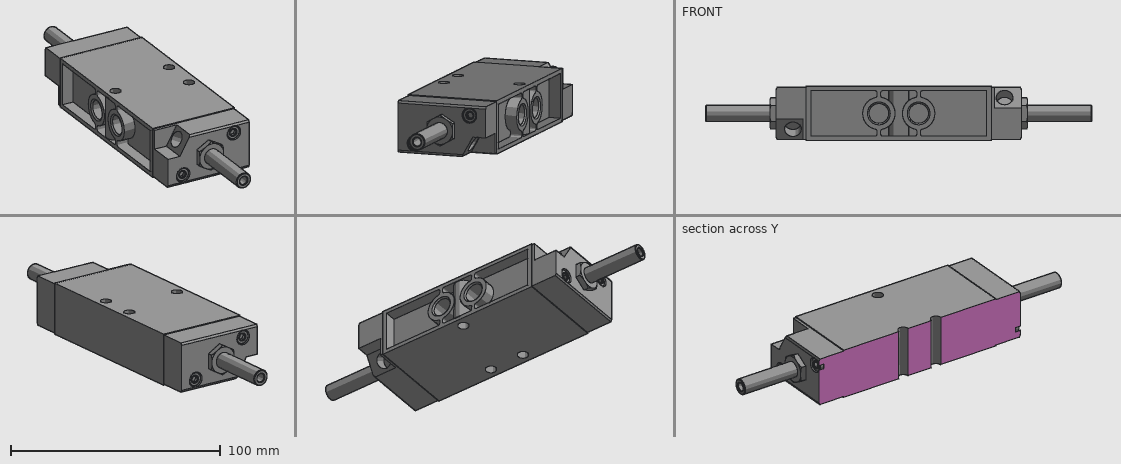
import cadquery as cq
import math

total_length = 184.0
width = 45.0
body_height = 26.0
body_length = 88.3
cap_length = 14.4
cap_height = 25.0
cap_width = 44.7
cap_chamfer_z = 1.1
cap_chamfer_x = 0.5

front_y = -width / 2
body_end_x = body_length / 2
cap_end_x = body_end_x + cap_length

pocket_length = 83.5
pocket_height = 21.7
pocket_depth = 5.9
port_spacing = 19.0
boss_diameter = 15.5
rib_thickness = 1.7
rib_fillet = 1.1
corner_search = 0.2
port_diameter = 9.4
port_chamfer = 0.7
port_chamfer_angle = 45.0
port_depth = 9.2
mount_diameter = 5.3
mount_offset_y = 17.5
mount_sleeve_diameter = 9.5

port_points = [(-port_spacing / 2, 0), (port_spacing / 2, 0)]

notch_wall = 1.5
notch_floor_z = 2.5
notch_floor_y = -15.8
notch_angle = 30.0
pilot_diameter = 8.0
pilot_depth = 6.6
pilot_x = 50.5
pilot_z = 7.5

screw_y = 14.0
screw_z = 7.7
screw_bore_diameter = 7.4
screw_head_diameter = 7.0
screw_bore_depth = 2.8
screw_head_recess = 0.5
screw_head_chamfer = 0.4
socket_flats = 3.0
socket_mouth_diameter = 4.0
socket_mouth_depth = 0.4
socket_depth = 1.8

nut_flats = 13.0
nut_thickness = 3.0
nut_face_diameter = 13.2
nut_chamfer_angle = 30.0
rod_diameter = 8.0
rod_chamfer = 0.4
rod_hole_diameter = 4.0
rod_hole_chamfer = 0.4
rod_hole_depth = 9.2
drill_point_angle = 118.0

hex_corner_factor = 1 / math.cos(math.radians(30))


def along_x(x, y=0.0, z=0.0):
    """Workplane facing +X, with local x along Y and local y along Z."""
    return cq.Workplane("YZ", origin=(x, y, z))


def from_front(y):
    """Workplane facing -Y, with local x along X and local y along Z."""
    return cq.Workplane("XZ", origin=(0, y, 0))


def make_pocket():
    """Hollow to remove from the front face, leaving bosses, ribs and a hole sleeve."""
    floor_y = front_y + pocket_depth
    pocket = from_front(floor_y).rect(pocket_length, pocket_height).extrude(pocket_depth)
    port_centers = from_front(floor_y).pushPoints(port_points)
    ribs = port_centers.rect(rib_thickness, pocket_height).extrude(pocket_depth)
    bosses = port_centers.circle(boss_diameter / 2).extrude(pocket_depth)
    pocket = pocket.cut(ribs).cut(bosses)

    boss_meet_z = math.sqrt((boss_diameter / 2) ** 2 - (rib_thickness / 2) ** 2)
    wall_z = pocket_height / 2
    for port_x, _ in port_points:
        for corner_z in (-wall_z, -boss_meet_z, boss_meet_z, wall_z):
            corners = cq.selectors.BoxSelector(
                (port_x - rib_thickness, front_y, corner_z - corner_search),
                (port_x + rib_thickness, floor_y, corner_z + corner_search),
            )
            pocket = pocket.edges("|Y").edges(corners).fillet(rib_fillet)

    sleeve = (
        cq.Workplane("XY")
        .center(0, -mount_offset_y)
        .circle(mount_sleeve_diameter / 2)
        .extrude(body_height, both=True)
    )
    return pocket.cut(sleeve)


def make_body():
    body = cq.Workplane("XY").box(body_length, width, body_height)
    body = body.cut(make_pocket())
    ports = from_front(front_y).pushPoints(port_points).circle(port_diameter / 2).extrude(-port_depth)
    mouth_radius = port_diameter / 2 + port_chamfer
    mouths = (
        from_front(front_y)
        .pushPoints(port_points)
        .circle(mouth_radius)
        .extrude(-port_chamfer, taper=port_chamfer_angle)
    )
    body = body.cut(ports).cut(mouths)
    mount_points = [
        (0, -mount_offset_y),
        (-port_spacing / 2, mount_offset_y),
        (port_spacing / 2, mount_offset_y),
    ]
    mount_centers = cq.Workplane("XY").pushPoints(mount_points)
    mount_holes = mount_centers.circle(mount_diameter / 2).extrude(body_height, both=True)
    return body.cut(mount_holes)


def notch_slope_y(z):
    """Y of the slanted notch face at height z."""
    return notch_floor_y + (z - notch_floor_z) * math.tan(math.radians(notch_angle))


def make_notch():
    """Corner notch in the upper front of the +X cap, with a blind port in its slanted face."""
    top_z = cap_height / 2
    notch = (
        along_x(body_end_x + notch_wall)
        .polyline([
            (front_y, notch_floor_z),
            (notch_floor_y, notch_floor_z),
            (notch_slope_y(top_z), top_z),
            (front_y, top_z),
        ])
        .close()
        .extrude(cap_length)
    )
    slope = math.radians(notch_angle)
    slanted_face = cq.Plane(
        origin=(pilot_x, notch_slope_y(pilot_z), pilot_z),
        xDir=(1, 0, 0),
        normal=(0, -math.cos(slope), math.sin(slope)),
    )
    pilot_port = cq.Workplane(slanted_face).circle(pilot_diameter / 2).extrude(-pilot_depth)
    return notch.union(pilot_port)


def make_screw_recess(y, z):
    """Counterbore around a sunken socket-head screw in the +X cap face."""
    bore = along_x(cap_end_x, y, z).circle(screw_bore_diameter / 2).extrude(-screw_bore_depth)
    head_x = cap_end_x - screw_head_recess
    head = (
        along_x(cap_end_x - screw_bore_depth, y, z)
        .circle(screw_head_diameter / 2)
        .extrude(screw_bore_depth - screw_head_recess)
        .faces(">X")
        .chamfer(screw_head_chamfer)
    )
    socket = along_x(head_x, y, z).polygon(6, socket_flats * hex_corner_factor).extrude(-socket_depth)
    mouth = along_x(head_x, y, z).circle(socket_mouth_diameter / 2).extrude(-socket_mouth_depth)
    return bore.cut(head).union(socket).union(mouth)


def make_cap():
    cap = (
        cq.Workplane("XY")
        .box(cap_length, cap_width, cap_height)
        .translate((body_end_x + cap_length / 2, 0, 0))
        .faces(">X")
        .edges("|Y")
        .chamfer(cap_chamfer_z, cap_chamfer_x)
        .cut(make_notch())
    )
    for y, z in ((-screw_y, -screw_z), (screw_y, screw_z)):
        cap = cap.cut(make_screw_recess(y, z))
    return cap


def make_nut():
    corner_diameter = nut_flats * hex_corner_factor
    nut = (
        along_x(cap_end_x)
        .polygon(6, corner_diameter)
        .extrude(nut_thickness)
        .rotate((0, 0, 0), (1, 0, 0), 90)
    )
    cone_taper = 90 - nut_chamfer_angle
    cone_base = nut_face_diameter / 2 + nut_thickness * math.tan(math.radians(cone_taper))
    cone = along_x(cap_end_x).circle(cone_base).extrude(nut_thickness, taper=cone_taper)
    return nut.intersect(cone)


def make_rod():
    rod_end_x = total_length / 2
    rod = (
        along_x(cap_end_x)
        .circle(rod_diameter / 2)
        .extrude(rod_end_x - cap_end_x)
        .faces(">X")
        .chamfer(rod_chamfer)
    )
    hole_radius = rod_hole_diameter / 2
    point_length = hole_radius / math.tan(math.radians(drill_point_angle / 2))
    drilled = (
        cq.Workplane("XY")
        .polyline([
            (rod_end_x, 0),
            (rod_end_x, hole_radius + rod_hole_chamfer),
            (rod_end_x - rod_hole_chamfer, hole_radius),
            (rod_end_x - rod_hole_depth, hole_radius),
            (rod_end_x - rod_hole_depth - point_length, 0),
        ])
        .close()
        .revolve(360, (0, 0, 0), (1, 0, 0))
    )
    return rod.cut(drilled)


right_end = make_cap().union(make_nut()).union(make_rod())
left_end = right_end.rotate((0, 0, 0), (0, 1, 0), 180)

result = make_body().union(right_end).union(left_end)